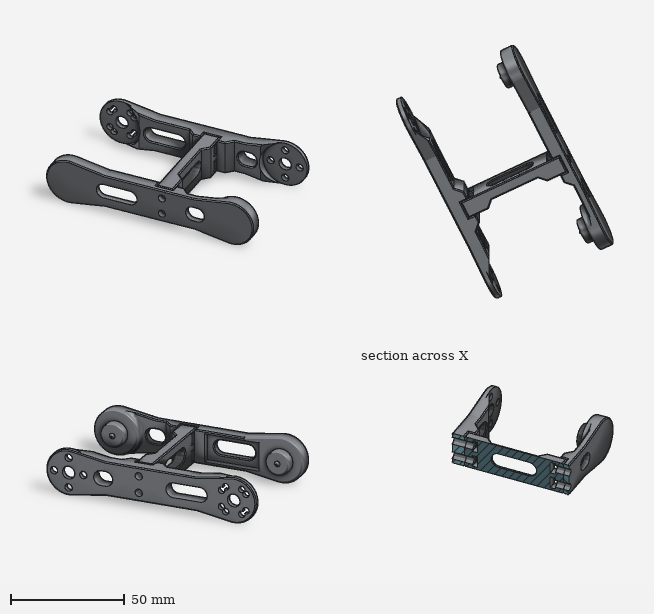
import cadquery as cq
import math

length = 101.5
depth = 57.5
lobe_radius = 10.8
waist_height = 16.0
half_height = waist_height / 2
lobe_x = length / 2 - lobe_radius
waist_x = 22.0
edge_chamfer = 0.5
slot_width = 7.0

arm_thickness = 6.4
step = 3.1
front_y = -depth / 2
back_y = depth / 2

bar_x = 6.0
bar_width = 8.0
joint_depth = 3.5
boss_half_width = 7.9
screw_diameter = 3.5
screw_z = 4.0

horn_plate = 2.4
ramp_start_x = 38.2
ramp_end_x = 29.7
boss_thickness = arm_thickness + step
hub_hole_diameter = 6.0
horn_hole_diameter = 3.5
horn_hole_radius = 7.1
pair_hole_diameter = 3.0
pair_half_angle = 11.5

thin_thickness = arm_thickness - step
lobe_fillet = 1.0
disc_root_fillet = 1.5
pin_diameter = 11.5
pin_length = 4.1
pin_fillet = 1.0
tip_base_diameter = 2.6
tip_diameter = 0.6
tip_length = 1.0

front_slots = [(-26.1, -6.2), (17.7, 26.8)]
back_slot_shift = 1.0
back_slots = [
    (front_slots[0][0] - back_slot_shift, front_slots[0][1] - back_slot_shift),
    (front_slots[1][0] + back_slot_shift, front_slots[1][1] + back_slot_shift),
]
slot_pocket_margin = 3.2

bar_front_y = front_y + arm_thickness - joint_depth
bar_back_y = back_y - boss_thickness + joint_depth
bar_middle_y = (bar_front_y + bar_back_y) / 2
bar_recess_half = 11.4
bar_slot_length = 22.1
nut_thickness = 2.4
nut_height = 5.4
nut_setback = 5.1

tolerance = 0.01
reach = length


def xz_plane(y, x=0.0, z=0.0):
    """Sketch plane at the given Y. Positive extrusion runs toward -Y."""
    return cq.Workplane("XZ", origin=(x, y, z))


def arm_outline(y):
    """Dog-bone outline: straight waist with sides tangent to two round lobes."""
    run = lobe_x - waist_x
    angle = math.atan2(half_height, run) + math.acos(lobe_radius / math.hypot(run, half_height))
    tangent_x = lobe_x - lobe_radius * math.cos(angle)
    tangent_z = lobe_radius * math.sin(angle)
    return (
        xz_plane(y)
        .moveTo(-waist_x, half_height)
        .lineTo(waist_x, half_height)
        .lineTo(tangent_x, tangent_z)
        .threePointArc((length / 2, 0), (tangent_x, -tangent_z))
        .lineTo(waist_x, -half_height)
        .lineTo(-waist_x, -half_height)
        .lineTo(-tangent_x, -tangent_z)
        .threePointArc((-length / 2, 0), (-tangent_x, tangent_z))
        .close()
    )


def arm_blank(outer_y, inward, thickness):
    """Outline extruded from the outer face, with that face chamfered all round."""
    outer_face = "<Y" if inward > 0 else ">Y"
    blank = arm_outline(outer_y).extrude(-inward * thickness)
    return blank.faces(outer_face).edges().chamfer(edge_chamfer)


def prism(points):
    """Polygon in XY, extended through the whole height."""
    return cq.Workplane("XY").polyline(points).close().extrude(reach, both=True)


def chamfer_rim(body, y_a, y_b, left_x=-length / 2):
    """Chamfer the upper and lower edges of the inner faces between two Y levels, right of left_x."""
    for z_a, z_b in ((half_height - tolerance, lobe_radius), (-lobe_radius, tolerance - half_height)):
        low = (left_x, min(y_a, y_b) - tolerance, z_a)
        high = (length / 2, max(y_a, y_b) + tolerance, z_b)
        body = body.edges(cq.selectors.BoxSelector(low, high)).chamfer(edge_chamfer)
    return body


def cut_joint(arm, inner_y, inward):
    """Through-height recess for the bar end, its upper and lower edges chamfered."""
    floor_y = inner_y - inward * joint_depth
    pocket = cq.Workplane("XY").box(bar_width, 2 * joint_depth, reach).translate((bar_x, inner_y, 0))
    arm = arm.cut(pocket)
    for side in (1, -1):
        mouth = (
            cq.Workplane("XY", origin=(bar_x, inner_y, side * (half_height - edge_chamfer)))
            .rect(bar_width, 2 * joint_depth)
            .workplane(offset=side * edge_chamfer)
            .rect(bar_width + 2 * edge_chamfer, 2 * (joint_depth + edge_chamfer))
            .loft()
        )
        arm = arm.cut(mouth)
    return cut_round_holes(arm, floor_y, [(bar_x, screw_z), (bar_x, -screw_z)], screw_diameter)


def cut_round_holes(body, y, places, diameter):
    """Holes along Y right through the body."""
    holes = xz_plane(y).pushPoints(places).circle(diameter / 2).extrude(arm_thickness, both=True)
    return body.cut(holes)


def cut_arm_slots(arm, slots, inner_y, inward):
    """Through slots, chamfered on the inner face."""
    for start, end in slots:
        middle = (start + end) / 2
        slot = xz_plane(inner_y, middle).slot2D(end - start, slot_width).extrude(reach, both=True)
        mouth = (
            xz_plane(inner_y, middle)
            .slot2D(end - start + 2 * edge_chamfer, slot_width + 2 * edge_chamfer)
            .extrude(inward * edge_chamfer, taper=45)
        )
        arm = arm.cut(slot).cut(mouth)
    return arm


def polar(centre_x, radius, degrees):
    angle = math.radians(degrees)
    return (centre_x + radius * math.cos(angle), radius * math.sin(angle))


def make_back_arm():
    plate_y = back_y - horn_plate
    body_y = back_y - arm_thickness
    boss_y = back_y - boss_thickness
    foot = boss_half_width + step

    arm = arm_blank(back_y, -1, boss_thickness).intersect(prism([
        (-length, back_y),
        (-length, plate_y),
        (-ramp_start_x, plate_y),
        (-ramp_end_x, body_y),
        (bar_x - foot, body_y),
        (bar_x - boss_half_width, boss_y),
        (bar_x + boss_half_width, boss_y),
        (bar_x + foot, body_y),
        (ramp_end_x, body_y),
        (ramp_start_x, plate_y),
        (length, plate_y),
        (length, back_y),
    ]))
    arm = chamfer_rim(arm, body_y, boss_y)

    for x in (-lobe_x, lobe_x):
        arm = arm.cut(xz_plane(plate_y, x).circle(lobe_radius).extrude(arm_thickness))
        arm = cut_round_holes(arm, plate_y, [(x, 0)], hub_hole_diameter)

    singles = [polar(lobe_x, horn_hole_radius, 90 * i) for i in range(4)]
    arm = cut_round_holes(arm, plate_y, singles, horn_hole_diameter)
    for offset in (-pair_half_angle, pair_half_angle):
        places = [polar(-lobe_x, horn_hole_radius, 45 + 90 * i + offset) for i in range(4)]
        arm = cut_round_holes(arm, plate_y, places, pair_hole_diameter)

    arm = cut_arm_slots(arm, back_slots, body_y, -1)
    return cut_joint(arm, boss_y, -1)


def make_front_lobe(inner_y):
    """Thick left end, its inner edge rounded."""
    blank = arm_blank(front_y, 1, arm_thickness)
    lobe = blank.faces(">Y").edges().fillet(lobe_fillet)
    return lobe.intersect(prism([(-length, front_y), (-waist_x, front_y), (-waist_x, inner_y), (-length, inner_y)]))


def make_front_disc(thin_y, inner_y):
    """Raised round seat at the right end, blended into the thin part of the arm."""
    root_radius = lobe_radius + disc_root_fillet
    blend = disc_root_fillet * (1 - math.sqrt(0.5))
    profile = (
        cq.Workplane("XY", origin=(lobe_x, 0, 0))
        .moveTo(0, front_y)
        .lineTo(root_radius, front_y)
        .lineTo(root_radius, thin_y)
        .threePointArc((lobe_radius + blend, thin_y + blend), (lobe_radius, thin_y + disc_root_fillet))
        .lineTo(lobe_radius, inner_y)
        .lineTo(0, inner_y)
        .close()
    )
    disc = profile.revolve(360, (0, 0, 0), (0, 1, 0)).faces(">Y").edges().fillet(lobe_fillet)
    return disc.intersect(arm_blank(front_y, 1, arm_thickness))


def make_pin(x, seat_y):
    """Pivot pin with a rounded rim and a small conical tip."""
    pin = xz_plane(seat_y, x).circle(pin_diameter / 2).extrude(-pin_length)
    pin = pin.faces(">Y").edges().fillet(pin_fillet)
    tip = (
        xz_plane(seat_y + pin_length, x)
        .circle(tip_base_diameter / 2)
        .workplane(offset=-tip_length)
        .circle(tip_diameter / 2)
        .loft()
    )
    return pin.union(tip)


def make_front_arm():
    inner_y = front_y + arm_thickness
    thin_y = front_y + thin_thickness

    arm = arm_blank(front_y, 1, arm_thickness).intersect(prism([
        (-waist_x, front_y),
        (-waist_x, inner_y),
        (bar_x + boss_half_width, inner_y),
        (bar_x + boss_half_width + step, thin_y),
        (ramp_start_x, thin_y),
        (ramp_start_x, front_y),
    ]))
    arm = chamfer_rim(arm, thin_y, inner_y, tolerance - waist_x)
    arm = cut_joint(arm, inner_y, 1)
    arm = arm.union(make_front_lobe(inner_y))
    arm = arm.union(make_front_disc(thin_y, inner_y))

    start, end = front_slots[0]
    pocket_length = end - start + 2 * slot_pocket_margin
    pocket_height = slot_width + 2 * slot_pocket_margin
    pocket = xz_plane(inner_y, (start + end) / 2).rect(pocket_length, pocket_height).extrude(step)
    arm = cut_arm_slots(arm.cut(pocket), front_slots, thin_y, 1)

    for x in (-lobe_x, lobe_x):
        arm = arm.union(make_pin(x, inner_y))
    return arm


def make_bar():
    left_x = bar_x - bar_width / 2
    right_x = bar_x + bar_width / 2
    recess_x = right_x - step
    shoulder = bar_recess_half + step

    bar = (
        cq.Workplane("XY", origin=(0, 0, -half_height))
        .polyline([
            (left_x, bar_front_y),
            (right_x, bar_front_y),
            (right_x, bar_middle_y - shoulder),
            (recess_x, bar_middle_y - bar_recess_half),
            (recess_x, bar_middle_y + bar_recess_half),
            (right_x, bar_middle_y + shoulder),
            (right_x, bar_back_y),
            (left_x, bar_back_y),
        ])
        .close()
        .extrude(waist_height)
        .faces("<Z or >Z").edges().chamfer(edge_chamfer)
    )

    left_face = cq.Workplane("YZ", origin=(left_x, bar_middle_y, 0))
    slot = left_face.slot2D(bar_slot_length, slot_width).extrude(bar_width)
    mouth = left_face.slot2D(bar_slot_length + 2 * edge_chamfer, slot_width + 2 * edge_chamfer)
    bar = bar.cut(slot).cut(mouth.extrude(edge_chamfer, taper=45))

    hole_depth = nut_setback + nut_thickness / 2
    for end_y, inward in ((bar_front_y, 1), (bar_back_y, -1)):
        for z in (-screw_z, screw_z):
            window = cq.Workplane("XY").box(2 * bar_width, nut_thickness, nut_height)
            bar = bar.cut(window.translate((bar_x, end_y + inward * nut_setback, z)))
            hole = xz_plane(end_y, bar_x, z).circle(screw_diameter / 2).extrude(-inward * hole_depth)
            bar = bar.cut(hole)
    return bar


back_arm = make_back_arm()
front_arm = make_front_arm()
bar = make_bar()
result = cq.Compound.makeCompound([back_arm.val(), front_arm.val(), bar.val()])